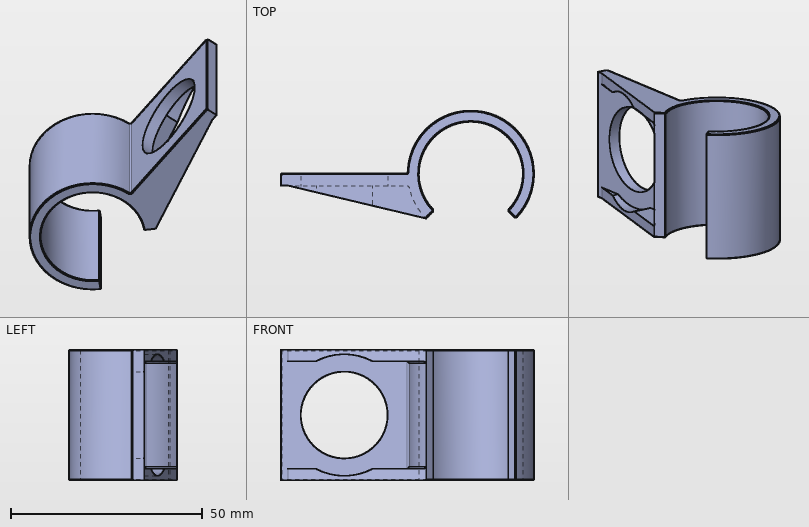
import cadquery as cq
import math

width = 34.05
clip_radius = 16.5
bore_radius = 13.5
mouth_angle = 45.0

plate_reach = 49.5
plate_back = 0.1
plate_front = -3.1
flat_tip = 1.85

rib_thickness = 3.0
hole_x = -33.0
hole_radius = 11.3
clearance_radius = 15.85

edge_chamfer = 0.25
pocket_fillet = 0.6
junction_fillet = 0.4
margin = 3.3

pocket_half_width = width / 2 - rib_thickness


def polar(radius, degrees):
    """Point on a circle about the clip axis."""
    angle = math.radians(degrees)
    return radius * math.cos(angle), radius * math.sin(angle)


def clip_body():
    """C-shaped ring with a mouth facing -Y."""
    left_end = 180 + mouth_angle
    right_end = -mouth_angle
    return (
        cq.Workplane("XY")
        .moveTo(*polar(clip_radius, right_end))
        .threePointArc((0, clip_radius), polar(clip_radius, left_end))
        .lineTo(*polar(bore_radius, left_end))
        .threePointArc((0, bore_radius), polar(bore_radius, right_end))
        .close()
        .extrude(width / 2, both=True)
    )


def plate_body():
    """Plate and tapered ribs as one wedge, reaching into the clip wall."""
    wall_radius = (clip_radius + bore_radius) / 2
    return (
        cq.Workplane("XY")
        .moveTo(-plate_reach, plate_back)
        .lineTo(-wall_radius, plate_back)
        .threePointArc(polar(wall_radius, 180 + mouth_angle / 2), polar(wall_radius, 180 + mouth_angle))
        .lineTo(*polar(clip_radius, 180 + mouth_angle))
        .lineTo(flat_tip - plate_reach, plate_front)
        .lineTo(-plate_reach, plate_front)
        .close()
        .extrude(width / 2, both=True)
    )


def pocket():
    """Space between the ribs, ending at the clip wall, with rounded corners there."""
    floor_angle = 180 + math.degrees(math.asin(-plate_front / clip_radius))
    past_mouth_angle = 180 + mouth_angle + 10
    outer_x = -plate_reach - margin
    wall_end = polar(clip_radius, past_mouth_angle)
    body = (
        cq.Workplane("XY")
        .moveTo(outer_x, plate_front)
        .lineTo(*polar(clip_radius, floor_angle))
        .threePointArc(polar(clip_radius, 180 + mouth_angle), wall_end)
        .lineTo(outer_x, wall_end[1])
        .close()
        .extrude(pocket_half_width, both=True)
    )
    wall_edges = body.faces("%CYLINDER").edges("<X or >Z or <Z")
    return body.newObject(wall_edges.vals()).fillet(pocket_fillet)


def cylinder_through_plate(radius, start_y, end_y):
    """Cylinder along Y, centred on the plate hole."""
    return (
        cq.Workplane("XZ", origin=(hole_x, start_y, 0))
        .circle(radius)
        .extrude(start_y - end_y)
    )


def upright_edge(body, x, y):
    """Edge parallel to Z nearest to the given place."""
    return body.edges("|Z").edges(cq.selectors.NearestToPointSelector((x, y, 0)))


def soften_edges(body):
    """Round the plate junction, then chamfer the mouth corners, plate back and clip rims."""
    body = upright_edge(body, -clip_radius, plate_back).fillet(junction_fillet)

    inner_x, inner_y = polar(bore_radius, -mouth_angle)
    outer_x, outer_y = polar(clip_radius, -mouth_angle)
    chamfered_corners = [
        (-inner_x, inner_y),
        (inner_x, inner_y),
        (outer_x, outer_y),
        (-plate_reach, plate_back),
    ]
    for x, y in chamfered_corners:
        body = upright_edge(body, x, y).chamfer(edge_chamfer)

    rim_edges = body.faces("<Z or >Z").edges()
    chamfered_edges = [
        edge
        for edge in rim_edges.vals()
        if edge.geomType() == "CIRCLE"
        or edge.Center().x > -bore_radius
        or edge.Center().y > plate_back - edge_chamfer
    ]
    return body.newObject(chamfered_edges).chamfer(edge_chamfer)


bracket = soften_edges(clip_body().union(plate_body()))
bracket = bracket.cut(pocket())
bracket = bracket.cut(cylinder_through_plate(clearance_radius, plate_front, -clip_radius))
result = bracket.cut(cylinder_through_plate(hole_radius, margin, -clip_radius))